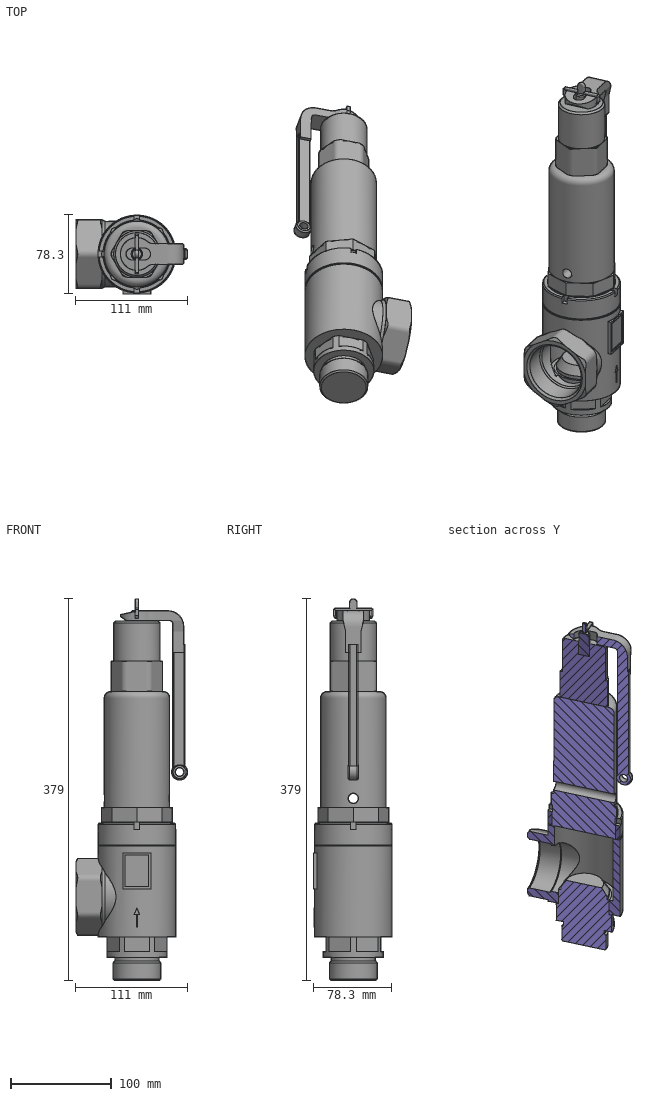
import cadquery as cq
import math


nozzle_r = 30.0
nozzle_flat = 27.3
nozzle_flat_bottom_z = 28.5
flange_bottom_z = 22.7
thread_r = 24.0
thread_relief_r = 22.0
thread_top_z = 17.5
thread_chamfer = 1.5
spigot_r = 27.3
seat_base_r = 25.0
seat_r = 19.5
seat_cone_bottom_z = 63.7
seat_top_z = 72.8

body_r = 38.5
body_bottom_z = 43.2
body_top_z = 133.5
cavity_r = 31.0
cavity_floor_z = 60.3

outlet_z = 83.0
outlet_face_x = -60.5
outlet_hex_inner_x = -34.5
outlet_hex_flat = 34.0
outlet_hex_fillet = 7.2
outlet_hex_round_r = 38.3
outlet_face_ring_r = 35.0
outlet_hex_chamfer = 2.0
outlet_neck_r = 32.5
outlet_neck_x = -31.5
outlet_thread_r = 28.5
outlet_thread_end_x = -36.5
outlet_mouth_r = 30.7
outlet_bore_r = 27.0

badge_width = 28.0
badge_height = 35.5
badge_mid_z = 108.8
badge_face_y = -39.8
badge_frame = 2.3
badge_recess = 1.0
arrow_tip_z = 71.5
arrow_head_length = 6.5
arrow_head_width = 5.5
arrow_shaft_width = 1.0
arrow_length = 18.5
arrow_relief = 0.5

collar_r = body_r
collar_bore_r = 33.7
collar_top_z = 156.2
collar_groove = 1.0
collar_groove_depth = 0.8
collar_chamfer = 1.0
notch_width = 5.5
notch_depth = 6.0

octagon_bottom_z = 157.5
octagon_top_z = 171.7
bonnet_r = 32.5
bonnet_top_z = 287.0
bonnet_rounding = 6.5
vent_r = 5.0
vent_z = 181.0

cap_r = 23.0
cap_hex_fillet = 6.5
cap_hex_round_r = 25.8
cap_hex_top_z = 317.5
cap_hex_chamfer = 0.8
cap_top_z = 357.0
cap_top_chamfer = 2.0

spindle_r = 5.5
spindle_chamfer = 1.0
spindle_depth = 15.0

lever_bottom_z = 357.5
lever_top_z = 367.5
lever_half_width = 10.2
head_r = 16.3
head_flank_r = 9.5
head_slope_x = 2.3
head_tip_top_z = 363.5
head_tip_bottom_z = 361.5
head_heel_x = -10.5
slot_length = 24.3
slot_width = 11.8
slot_mid_x = 1.5
shank_inner_x = 35.5
shank_outer_x = 46.5
shank_half_width = 7.5
shank_taper_bottom_z = 346.5
shank_bottom_z = 326.0
bend_outer_r = 16.0
bend_inner_r = 3.5
bar_outer_x = 47.8
bar_half_width = 4.5
bar_top_z = 333.5
bar_chamfer = 1.0
eye_x = 42.5
eye_z = 207.0
eye_r = 8.0
eye_hole_r = 4.0
eye_half_width = 5.3
eye_chamfer = 1.5

clip_thickness = 3.5
clip_rounding = 0.8
clip_tab_half_width = 3.8
clip_top_z = 379.0
clip_bar_top_z = 370.0
clip_reach = 19.7
clip_bend = 1.5
clip_leg_inner_y = 17.5
clip_leg_taper_z = 362.5
clip_leg_bottom_z = 359.8
clip_leg_tip_y = 18.2
clip_hook_y = 16.5


def cylinder(radius, bottom_z, top_z):
    return cq.Workplane("XY").workplane(offset=bottom_z).circle(radius).extrude(top_z - bottom_z)


def revolved(profile):
    """Solid of revolution about Z from (radius, z) points."""
    return cq.Workplane("XZ").polyline(profile).close().revolve(360, (0, 0), (0, 1))


def rounded_hexagon(apothem, corner_fillet, height):
    """Hexagonal prism on Z with flats facing +Y and -Y and rounded upright corners."""
    across_corners = 2 * apothem / math.cos(math.pi / 6)
    return cq.Workplane("XY").polygon(6, across_corners).extrude(height).edges("|Z").fillet(corner_fillet)


def chamfered_rod(radius, chamfer, height):
    return cq.Workplane("XY").circle(radius).extrude(height).faces("<Z or >Z").chamfer(chamfer)



def make_nozzle():
    relief_end_r = thread_r - thread_chamfer
    nozzle = revolved([
        (0, 0),
        (relief_end_r, 0),
        (thread_r, thread_chamfer),
        (thread_r, thread_top_z),
        (thread_relief_r, thread_top_z + thread_r - thread_relief_r),
        (thread_relief_r, flange_bottom_z),
        (nozzle_r, flange_bottom_z),
        (nozzle_r, body_bottom_z),
        (spigot_r, body_bottom_z),
        (spigot_r, cavity_floor_z),
        (seat_base_r, cavity_floor_z),
        (seat_base_r, seat_cone_bottom_z),
        (seat_r, seat_top_z),
        (0, seat_top_z),
    ])
    flat_height = body_bottom_z - nozzle_flat_bottom_z
    flats = (
        cq.Workplane("XY")
        .workplane(offset=nozzle_flat_bottom_z)
        .circle(2 * nozzle_r)
        .polygon(6, 2 * nozzle_flat / math.cos(math.pi / 6))
        .extrude(flat_height)
    )
    return nozzle.cut(flats)



def along_outlet(shape):
    """Moves a shape built upward along Z so that it starts at the outlet face and runs along +X."""
    turned = shape.rotate((0, 0, 0), (0, 1, 0), 90)
    return turned.translate((outlet_face_x, 0, outlet_z))


def make_outlet():
    hex_length = outlet_hex_inner_x - outlet_face_x
    neck_start = outlet_neck_x - outlet_face_x
    hexagon = rounded_hexagon(outlet_hex_flat, outlet_hex_fillet, hex_length)
    hexagon = hexagon.intersect(revolved([
        (0, 0),
        (outlet_face_ring_r, 0),
        (outlet_hex_round_r, outlet_hex_chamfer),
        (outlet_hex_round_r, hex_length - outlet_hex_chamfer),
        (outlet_face_ring_r, hex_length),
        (0, hex_length),
    ]))
    neck = revolved([
        (0, 0),
        (outlet_neck_r, 0),
        (outlet_hex_flat, hex_length),
        (outlet_neck_r, neck_start),
        (outlet_neck_r, -outlet_face_x),
        (0, -outlet_face_x),
    ])
    return along_outlet(hexagon.union(neck))


def make_outlet_bore():
    thread_end = outlet_thread_end_x - outlet_face_x
    return along_outlet(revolved([
        (0, 0),
        (outlet_mouth_r, 0),
        (outlet_thread_r, outlet_mouth_r - outlet_thread_r),
        (outlet_thread_r, thread_end),
        (outlet_bore_r, thread_end + outlet_thread_r - outlet_bore_r),
        (outlet_bore_r, -outlet_face_x),
        (0, -outlet_face_x),
    ]))


def make_badge():
    badge = (
        cq.Workplane("XY")
        .box(badge_width, -badge_face_y - cavity_r, badge_height, centered=(True, False, True))
        .translate((0, badge_face_y, badge_mid_z))
    )
    recess = (
        cq.Workplane("XY")
        .box(
            badge_width - 2 * badge_frame,
            2 * badge_recess,
            badge_height - 2 * badge_frame,
        )
        .translate((0, badge_face_y, badge_mid_z))
    )
    return badge, recess


def make_arrow():
    head_z = arrow_tip_z - arrow_head_length
    tail_z = arrow_tip_z - arrow_length
    outline = [
        (0, arrow_tip_z),
        (arrow_head_width / 2, head_z),
        (arrow_shaft_width / 2, head_z),
        (arrow_shaft_width / 2, tail_z),
        (-arrow_shaft_width / 2, tail_z),
        (-arrow_shaft_width / 2, head_z),
        (-arrow_head_width / 2, head_z),
    ]
    prism = cq.Workplane("XZ").polyline(outline).close().extrude(2 * body_r)
    shell = cylinder(body_r + arrow_relief, tail_z, arrow_tip_z)
    return prism.intersect(shell)


def make_body():
    badge, recess = make_badge()
    body = cylinder(body_r, body_bottom_z, body_top_z).union(make_outlet()).union(badge)
    body = body.union(make_arrow()).cut(recess)
    body = body.cut(cylinder(cavity_r, cavity_floor_z, body_top_z))
    body = body.cut(cylinder(spigot_r, body_bottom_z, cavity_floor_z))
    return body.cut(make_outlet_bore())



def make_collar():
    groove_top_z = body_top_z + collar_groove
    groove_r = collar_r - collar_groove_depth
    collar = revolved([
        (collar_bore_r, body_top_z),
        (groove_r, body_top_z),
        (groove_r, groove_top_z),
        (collar_r, groove_top_z),
        (collar_r, collar_top_z - collar_chamfer),
        (collar_r - collar_chamfer, collar_top_z),
        (collar_bore_r, collar_top_z),
    ])
    for across_x, across_y in ((notch_width, 2 * body_r), (2 * body_r, notch_width)):
        notches = (
            cq.Workplane("XY")
            .box(across_x, across_y, 2 * notch_depth)
            .translate((0, 0, collar_top_z))
        )
        collar = collar.cut(notches)
    return collar



def make_bonnet():
    neck = cylinder(collar_bore_r, body_top_z, octagon_bottom_z)
    octagon = (
        cq.Workplane("XY")
        .workplane(offset=octagon_bottom_z)
        .polygon(8, 2 * bonnet_r / math.cos(math.pi / 8))
        .extrude(octagon_top_z - octagon_bottom_z)
    )
    barrel = cylinder(bonnet_r, octagon_top_z, bonnet_top_z).faces(">Z").edges().fillet(bonnet_rounding)
    vent = (
        cq.Workplane("YZ")
        .center(0, vent_z)
        .circle(vent_r)
        .extrude(2 * bonnet_r, both=True)
    )
    return neck.union(octagon).union(barrel).cut(vent)



def make_cap():
    hex_height = cap_hex_top_z - bonnet_top_z
    hexagon = rounded_hexagon(cap_r, cap_hex_fillet, hex_height)
    hexagon = hexagon.intersect(chamfered_rod(cap_hex_round_r, cap_hex_chamfer, hex_height))
    barrel = cylinder(cap_r, cap_hex_top_z, cap_top_z).faces(">Z").chamfer(cap_top_chamfer)
    socket = cylinder(spindle_r, cap_top_z - spindle_depth, cap_top_z)
    return hexagon.translate((0, 0, bonnet_top_z)).union(barrel).cut(socket)


def make_spindle():
    rod = cylinder(spindle_r, cap_top_z - spindle_depth, lever_top_z)
    return rod.faces(">Z").chamfer(spindle_chamfer)



def lever_side():
    """Head, arm, bend and shank as an XZ outline, extruded over the width of the head."""
    bend_x = shank_outer_x - bend_outer_r
    bend_z = lever_top_z - bend_outer_r
    bend_mid = bend_outer_r * math.sqrt(0.5)
    inner_x = shank_inner_x - bend_inner_r
    inner_z = lever_bottom_z - bend_inner_r
    inner_mid = bend_inner_r * math.sqrt(0.5)
    return (
        cq.Workplane("XZ")
        .moveTo(-head_r, head_tip_bottom_z)
        .lineTo(-head_r, head_tip_top_z)
        .lineTo(head_slope_x, lever_top_z)
        .lineTo(bend_x, lever_top_z)
        .threePointArc((bend_x + bend_mid, bend_z + bend_mid), (shank_outer_x, bend_z))
        .lineTo(shank_outer_x, shank_bottom_z)
        .lineTo(shank_inner_x, shank_bottom_z)
        .lineTo(shank_inner_x, inner_z)
        .threePointArc((inner_x + inner_mid, inner_z + inner_mid), (inner_x, lever_bottom_z))
        .lineTo(head_heel_x, lever_bottom_z)
        .close()
        .extrude(head_r, both=True)
    )


def lever_plan():
    """Round head blended into the straight arm, as an XY outline extruded over the lever height."""
    flank_y = lever_half_width + head_flank_r
    flank_x = math.sqrt((head_r + head_flank_r) ** 2 - flank_y ** 2)
    tangent = head_r / (head_r + head_flank_r)
    tangent_x = flank_x * tangent
    tangent_y = flank_y * tangent
    to_arm = math.atan2(flank_y, flank_x)
    mid_angle = (to_arm + math.pi / 2) / 2
    mid_x = flank_x - head_flank_r * math.cos(mid_angle)
    mid_y = flank_y - head_flank_r * math.sin(mid_angle)
    return (
        cq.Workplane("XY")
        .workplane(offset=shank_bottom_z)
        .moveTo(tangent_x, -tangent_y)
        .threePointArc((-head_r, 0), (tangent_x, tangent_y))
        .threePointArc((mid_x, mid_y), (flank_x, lever_half_width))
        .lineTo(shank_outer_x, lever_half_width)
        .lineTo(shank_outer_x, -lever_half_width)
        .lineTo(flank_x, -lever_half_width)
        .threePointArc((mid_x, -mid_y), (tangent_x, -tangent_y))
        .close()
        .extrude(lever_top_z - shank_bottom_z)
    )


def shank_relief():
    """Material beside the shank, removed so that it narrows below the arm."""
    side = (
        cq.Workplane("YZ")
        .polyline([
            (lever_half_width, lever_bottom_z),
            (shank_half_width, shank_taper_bottom_z),
            (shank_half_width, shank_bottom_z),
            (head_r, shank_bottom_z),
            (head_r, lever_bottom_z),
        ])
        .close()
        .extrude(shank_outer_x)
    )
    return side.union(side.mirror("XZ"))


def make_lever_bar():
    """Straight bar below the shank, ending in a pierced eye."""
    bar = (
        cq.Workplane("XY")
        .workplane(offset=eye_z)
        .center((shank_inner_x + bar_outer_x) / 2, 0)
        .rect(bar_outer_x - shank_inner_x, 2 * bar_half_width)
        .extrude(bar_top_z - eye_z)
        .edges("|Z")
        .chamfer(bar_chamfer)
    )
    eye = (
        cq.Workplane("XZ")
        .center(eye_x, eye_z)
        .circle(eye_r)
        .extrude(eye_half_width, both=True)
        .edges()
        .chamfer(eye_chamfer)
    )
    hole = (
        cq.Workplane("XZ")
        .center(eye_x, eye_z)
        .circle(eye_hole_r)
        .extrude(eye_half_width, both=True)
    )
    return bar.union(eye).cut(hole)


def make_lever():
    slot = (
        cq.Workplane("XY")
        .workplane(offset=cap_top_z)
        .center(slot_mid_x, 0)
        .slot2D(slot_length, slot_width)
        .extrude(lever_top_z - cap_top_z)
    )
    lever = lever_side().intersect(lever_plan()).cut(shank_relief())
    return lever.cut(slot).union(make_lever_bar())



def make_clip():
    tab_arc_z = clip_top_z - clip_tab_half_width
    half = (
        cq.Workplane("YZ")
        .moveTo(0, lever_top_z)
        .lineTo(0, clip_top_z)
        .radiusArc((clip_tab_half_width, tab_arc_z), clip_tab_half_width)
        .lineTo(clip_tab_half_width, clip_bar_top_z)
        .lineTo(clip_reach - clip_bend, clip_bar_top_z)
        .lineTo(clip_reach, clip_bar_top_z - clip_bend)
        .lineTo(clip_reach, clip_leg_taper_z)
        .lineTo(clip_leg_tip_y, clip_leg_bottom_z)
        .lineTo(clip_hook_y, clip_leg_bottom_z)
        .lineTo(clip_leg_inner_y, clip_leg_taper_z)
        .lineTo(clip_leg_inner_y, lever_top_z)
        .close()
        .extrude(clip_thickness / 2, both=True)
    )
    clip = half.union(half.mirror("XZ"))
    return clip.faces("<X or >X").edges().fillet(clip_rounding)


nozzle = make_nozzle()
body = make_body()
collar = make_collar()
bonnet = make_bonnet()
cap = make_cap()
spindle = make_spindle()
lever = make_lever()
clip = make_clip()

parts = [nozzle, body, collar, bonnet, cap, spindle, lever, clip]
result = cq.Compound.makeCompound([part.solids().val() for part in parts])